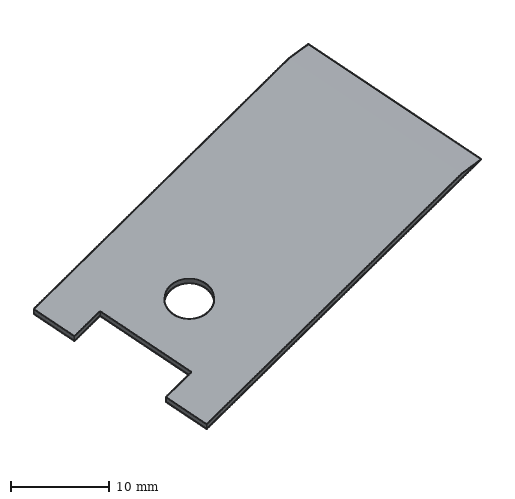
import cadquery as cq
import math

width = 22.86
length = 44.09
thickness = 0.84
bevel_angle = 15.0

hole_diameter = 5.08
hole_from_rear = 11.1

notch_width = 12.07
notch_depth = 4.1

bevel_run = thickness / math.tan(math.radians(bevel_angle))


def make_blade():
    """Extrude the blade's side profile (in YZ) symmetrically across its width."""
    side_profile = [
        (0, 0),
        (length, 0),
        (length - bevel_run, thickness),
        (0, thickness),
    ]
    return cq.Workplane("YZ").polyline(side_profile).close().extrude(width / 2, both=True)


def make_hole():
    """Round through hole on the centreline."""
    return cq.Workplane("XY").center(0, hole_from_rear).circle(hole_diameter / 2).extrude(thickness)


def make_notch():
    """Rectangular notch open to the rear edge."""
    return cq.Workplane("XY").box(notch_width, notch_depth, thickness, centered=(True, False, False))


result = make_blade().cut(make_hole()).cut(make_notch())